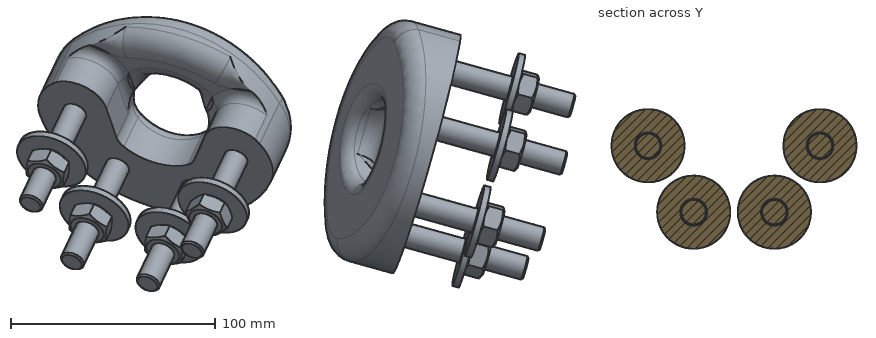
import cadquery as cq
import math


height = 97.2
top_radius = 71.9
top_center_z = height - top_radius
bottom_radius = 62.6
side_radius = 28.8

back_angle = 20.0
back_y_at_bottom = 14.5
back_edge_fillet = 10.0
back_hole_fillet = 7.0

hole_radius = 20.7
hole_center_z = 49.8
hole_bottom_z = 34.7
hole_bottom_radius = bottom_radius - hole_bottom_z
hole_corner_radius = 10.0

lobe_radius = 16.6
lobe_x = 41.7
lobe_z = 62.0
lobe_outer_angle = 40.0
arch_front_y = 21.2
recess_fillet = 5.0

arch_round = 10.7
outer_round_angle = 22.3
outer_taper_angle = 35.9
inner_round_angle = 34.5
inner_taper_angle = 66.5
taper_steps = 4
smallest_round = 0.1

stud_diameter = 12.0
stud_chamfer = 0.9
upper_stud_x = 42.1
upper_stud_z = 56.0
upper_stud_length = 62.3
lower_stud_x = 19.8
lower_stud_z = 23.4
lower_stud_length = 64.5
washer_diameter = 36.0
washer_hole_diameter = 13.0
washer_y = -30.0
washer_thickness = 3.2
nut_across_flats = 19.1
nut_height = 9.7
nut_face_diameter = 17.2
nut_chamfer_angle = 30.0
nut_tilt = 3.0
odd_nut_tilt = 39.0

outside_reach = 24.5
margin = 6.1
deep = 122.7


def toward(center, target, distance):
    """Point at a distance from center, in the direction of target."""
    span = math.dist(center, target)
    return tuple(c + (t - c) * distance / span for c, t in zip(center, target))


def polar(center, radius, degrees):
    """Point on a circle, with the angle counted from +X toward +Z."""
    angle = math.radians(degrees)
    return (center[0] + radius * math.cos(angle), center[1] + radius * math.sin(angle))


def mirrored(point):
    """Point on the other side of the symmetry plane."""
    return (-point[0], point[1])


def joining_arc_center(upper_z, upper_distance, lower_z, lower_distance):
    """Point at X > 0 with the given distances from two centers on the line X = 0."""
    gap = lower_z - upper_z
    rise = (gap**2 + upper_distance**2 - lower_distance**2) / (2 * gap)
    return (math.sqrt(upper_distance**2 - rise**2), upper_z + rise)


def rounded_profile(top_z, top_r, bottom_z, bottom_r, side_center, side_r):
    """Closed outline of a top arc, a bottom arc and two side arcs, all tangent."""
    upper = toward((0, top_z), side_center, top_r)
    lower = toward((0, bottom_z), side_center, bottom_r)
    chord_middle = ((upper[0] + lower[0]) / 2, (upper[1] + lower[1]) / 2)
    side_middle = toward(side_center, chord_middle, side_r)
    return (
        cq.Workplane("XZ")
        .moveTo(*upper)
        .threePointArc((0, top_z + top_r), mirrored(upper))
        .threePointArc(mirrored(side_middle), mirrored(lower))
        .threePointArc((0, bottom_z - bottom_r), lower)
        .threePointArc(side_middle, upper)
        .close()
    )


hole_corner = joining_arc_center(
    hole_center_z,
    hole_radius - hole_corner_radius,
    hole_bottom_z + hole_bottom_radius,
    hole_bottom_radius - hole_corner_radius,
)


def make_slanted_block():
    """Outline extruded toward +Y, cut by the slanted back face and pierced by the opening."""
    side_center = joining_arc_center(
        top_center_z, top_radius - side_radius, bottom_radius, bottom_radius - side_radius
    )
    outline = rounded_profile(
        top_center_z, top_radius, bottom_radius, bottom_radius, side_center, side_radius
    )
    block = outline.extrude(-deep)
    slope = math.tan(math.radians(back_angle))
    low_z = -margin
    high_z = height + margin
    behind_back_face = (
        cq.Workplane("YZ")
        .polyline([
            (back_y_at_bottom + slope * low_z, low_z),
            (deep + margin, low_z),
            (deep + margin, high_z),
            (back_y_at_bottom + slope * high_z, high_z),
        ])
        .close()
        .extrude(deep, both=True)
    )
    block = block.cut(behind_back_face)
    block = block.faces(">Y").edges().fillet(back_edge_fillet)

    opening = rounded_profile(
        hole_center_z, hole_radius, hole_bottom_z + hole_bottom_radius, hole_bottom_radius,
        hole_corner, hole_corner_radius,
    ).extrude(-deep)
    block = block.cut(opening)
    back_normal = cq.Vector(0, math.cos(math.radians(back_angle)), -math.sin(math.radians(back_angle)))
    back_face = block.faces(cq.selectors.ParallelDirSelector(back_normal))
    return block.newObject(back_face.val().innerWires()[0].Edges()).fillet(back_hole_fillet)


def make_recess():
    """Cutter for the space between the lobes, with a rounded rim at its far end."""
    lobe = (lobe_x, lobe_z)
    span = math.dist(lobe, hole_corner)
    lobe_to_corner = math.degrees(math.atan2(hole_corner[1] - lobe_z, hole_corner[0] - lobe_x))
    spread = math.degrees(math.acos((lobe_radius + hole_corner_radius) / span))
    touch_angle = lobe_to_corner - spread
    wall_bottom = polar(hole_corner, hole_corner_radius, touch_angle + 180)
    wall_top = polar(lobe, lobe_radius, touch_angle)
    lobe_top = polar(lobe, lobe_radius, 90)
    lobe_end = polar(lobe, lobe_radius, lobe_outer_angle)
    outside = polar(lobe_end, outside_reach, lobe_outer_angle - 90)
    outside_top = (outside[0], height + outside_reach)
    recess = (
        cq.Workplane("XZ", origin=(0, -margin, 0))
        .moveTo(*wall_bottom)
        .lineTo(*wall_top)
        .threePointArc(lobe_top, lobe_end)
        .lineTo(*outside)
        .lineTo(*outside_top)
        .lineTo(*mirrored(outside_top))
        .lineTo(*mirrored(outside))
        .lineTo(*mirrored(lobe_end))
        .threePointArc(mirrored(lobe_top), mirrored(wall_top))
        .lineTo(*mirrored(wall_bottom))
        .close()
        .extrude(-arch_front_y - margin)
    )
    return recess.faces(">Y").edges().fillet(recess_fillet)


def round_section(center_z, edge_radius, inward, width, depth, degrees):
    """Waste outside a rounded circular edge of the arch front, in a plane through the edge's axis.

    The rounding is a quarter ellipse, width across the front and depth along Y; degrees turns
    the plane from vertical. inward is 1 on the outer rim of the arch and -1 on its inner rim.
    """
    angle = math.radians(degrees)
    radial = cq.Vector(math.sin(angle), 0, math.cos(angle))
    plane = cq.Plane((0, 0, center_z), xDir=radial, normal=radial.cross(cq.Vector(0, 1, 0)))
    beyond = edge_radius + inward * margin
    back_y = arch_front_y + depth
    section = cq.Workplane(plane)
    if inward > 0:
        section = (
            section.moveTo(edge_radius - width, arch_front_y)
            .ellipseArc(width, depth, 270, 360, startAtCurrent=True)
            .lineTo(beyond, back_y)
            .lineTo(beyond, arch_front_y)
        )
    else:
        section = (
            section.moveTo(edge_radius, back_y)
            .ellipseArc(width, depth, 180, 270, startAtCurrent=True)
            .lineTo(beyond, arch_front_y)
            .lineTo(beyond, back_y)
        )
    return section.close()


def make_round(center_z, edge_radius, inward, full_angle, end_angle):
    """Cutter that rounds one edge of the arch front and fades out toward both lobes."""
    full = round_section(center_z, edge_radius, inward, arch_round, arch_round, full_angle)
    cutter = full.revolve(2 * full_angle, (0, 0), (0, -1))
    fading = []
    for step in range(taper_steps + 1):
        part = step / taper_steps
        width = max(arch_round * (1 - part**2), smallest_round)
        depth = max(arch_round * (1 - part) ** 2, smallest_round)
        angle = full_angle + part * (end_angle - full_angle)
        fading.append(round_section(center_z, edge_radius, inward, width, depth, angle).val())
    taper = cq.Workplane(cq.Solid.makeLoft(fading))
    return cutter.union(taper).union(taper.mirror("YZ"))


def make_fastener(x, z, stud_length, tilt):
    """Stud standing out of the mounting face, with its washer and nut."""
    stud = (
        cq.Workplane("XZ", origin=(x, 0, z))
        .circle(stud_diameter / 2)
        .extrude(stud_length)
        .faces("<Y")
        .chamfer(stud_chamfer)
    )
    washer = (
        cq.Workplane("XZ", origin=(x, washer_y, z))
        .circle(washer_diameter / 2)
        .circle(washer_hole_diameter / 2)
        .extrude(washer_thickness)
    )
    corner_diameter = nut_across_flats / math.cos(math.pi / 6)
    chamfer_width = (corner_diameter - nut_face_diameter) / 2
    chamfer_depth = chamfer_width * math.tan(math.radians(nut_chamfer_angle))
    nut_origin = (x, washer_y - washer_thickness, z)
    chamfered_round = (
        cq.Workplane("XZ", origin=nut_origin)
        .circle(corner_diameter / 2)
        .extrude(nut_height)
        .faces("<Y or >Y")
        .chamfer(chamfer_depth, chamfer_width)
    )
    nut = (
        cq.Workplane("XZ", origin=nut_origin)
        .transformed(rotate=(0, 0, 90 - tilt))
        .polygon(6, corner_diameter)
        .extrude(nut_height)
        .intersect(chamfered_round)
    )
    return stud.union(nut).union(washer)


body = make_slanted_block().cut(make_recess())
body = body.cut(make_round(top_center_z, top_radius, 1, outer_round_angle, outer_taper_angle))
body = body.cut(make_round(hole_center_z, hole_radius, -1, inner_round_angle, inner_taper_angle))

result = (
    body
    .union(make_fastener(-upper_stud_x, upper_stud_z, upper_stud_length, nut_tilt))
    .union(make_fastener(upper_stud_x, upper_stud_z, upper_stud_length, odd_nut_tilt))
    .union(make_fastener(-lower_stud_x, lower_stud_z, lower_stud_length, nut_tilt))
    .union(make_fastener(lower_stud_x, lower_stud_z, lower_stud_length, nut_tilt))
)